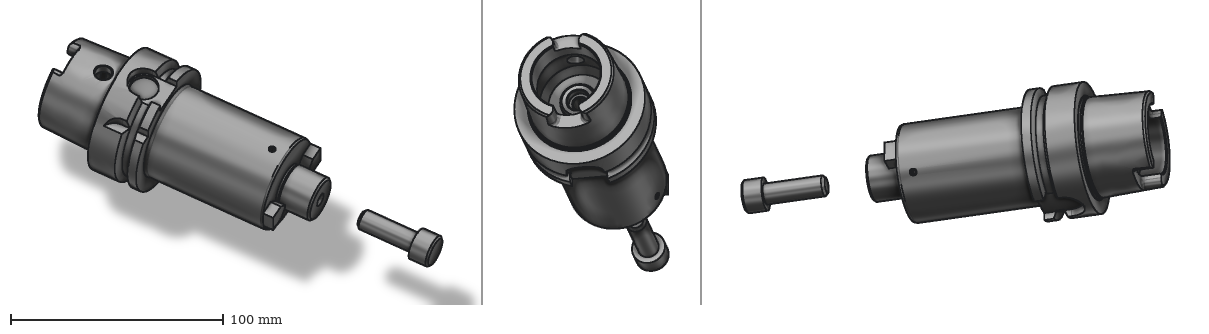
import cadquery as cq
import math

MOUTH_RADIUS = 45.9 / 2
MOUTH_ROUND = 1.0
TAPER_END_RADIUS = 24.0
UNDERCUT_START = 29.9
UNDERCUT_RADIUS = 23.6
UNDERCUT_SLOPE_LENGTH = 0.6
FACE_RELIEF_RADIUS = 25.0
FACE_RELIEF_DEPTH = 0.5

FLANGE_START = 32.0
FLANGE_WIDTH = 26.0
FLANGE_END = FLANGE_START + FLANGE_WIDTH
FLANGE_RADIUS = 31.5
GROOVE_RADIUS = 27.7
GROOVE_MOUTH = (FLANGE_START + 14.5, FLANGE_START + 21.5)
GROOVE_FLOOR = (FLANGE_START + 16.4, FLANGE_START + 20.0)

NECK_RADIUS = 24.0
NECK_LENGTH = 1.6
BODY_RADIUS = 23.6
BODY_END = 121.8
BODY_END_CHAMFER_LENGTH = 1.2
BODY_END_CHAMFER_DEPTH = 0.5
SPIGOT_RADIUS = 11.1
SPIGOT_END = 140.0
SPIGOT_CHAMFER = 1.0
SPIGOT_UNDERCUT_RADIUS = 10.7
SPIGOT_UNDERCUT_LENGTH = 2
SPIGOT_UNDERCUT_SLOPE_LENGTH = 0.8

BORE_MOUTH_RADIUS = 17.2
BORE_MOUTH_CHAMFER = 0.6
BORE_RADIUS = BORE_MOUTH_RADIUS - BORE_MOUTH_CHAMFER
BORE_CONE_START = 12.7
BORE_CONE_END = 14.7
BORE_INNER_RADIUS = 18.5
BORE_FLOOR_RADIUS = 15.2
BORE_DEPTH = 32.3
BOSS_RADIUS = 8.9
BOSS_HEIGHT = 4
BOSS_CHAMFER = 1.0
SOCKET_RADIUS = 5.3
SOCKET_CHAMFER = 0.5
SOCKET_DEPTH = 4
COOLANT_HOLE_DIAMETER = 6.5
COOLANT_HOLE_MOUTH_DIAMETER = 7.5

KEYWAY_HALF_WIDTH = 6.3
KEYWAY_EDGE_ROUND = 3.2
KEYWAY_ROUND_TOP = 20.8
KEYWAY_END_FILLET = 1.2
TOP_KEYWAY_LENGTH = 5.7
BOTTOM_KEYWAY_LENGTH = 9.7

ACCESS_HOLE_X = 22.8
ACCESS_HOLE_DIAMETER = 8
ACCESS_HOLE_MOUTH_DIAMETER = 9.3
ACCESS_HOLE_TOP_RADIUS = MOUTH_RADIUS + (TAPER_END_RADIUS - MOUTH_RADIUS) * ACCESS_HOLE_X / FLANGE_START
ACCESS_HOLE_CHAMFER_SHARE = 0.99

SLOT_CENTER_X = FLANGE_START + 13.0
SLOT_FLOOR = 26.5
TOP_SLOT_DIAMETER = 16.0
BOTTOM_SLOT_DIAMETER = 18.0
CHIP_POCKET_DIAMETER = 14.0
CHIP_POCKET_DEPTH = 2
NOTCH_CENTER_X = FLANGE_START + 12.1
NOTCH_CORNER = 19.8

KEY_WIDTH = 10
KEY_OUTER = 23.0
KEY_END = 127.3
KEY_TIP_CHAMFER = 4.5

NOZZLE_X = 114.0
NOZZLE_COUNT = 3
NOZZLE_MOUTH_DIAMETER = 3.5
NOZZLE_DIAMETER = 2.2
NOZZLE_DEPTH = 4
NOZZLE_MOUTH_DEPTH = (NOZZLE_MOUTH_DIAMETER - NOZZLE_DIAMETER) / 2

SCREW_END = 202
SCREW_LENGTH = 40.0
SCREW_TIP = SCREW_END - SCREW_LENGTH
SCREW_TIP_RADIUS = 7.5 / 2
SCREW_TIP_CHAMFER_LENGTH = 1.5
SCREW_SHANK_RADIUS = 5.0
SCREW_HEAD_RADIUS = 16.0 / 2
SCREW_HEAD_LENGTH = 10
SCREW_HEAD_CHAMFER = 1.0


def revolve_about_x(points):
    """Solid of revolution about X of an (axial, radial) half outline."""
    return cq.Workplane("XY").polyline(points).close().revolve(360, (0, 0, 0), (1, 0, 0))


def upright_cylinder(x, y, diameter, bottom, top):
    return cq.Workplane("XY", origin=(x, y, bottom)).circle(diameter / 2).extrude(top - bottom)


def box_between(low, high):
    size = [b - a for a, b in zip(low, high)]
    return cq.Workplane("XY").box(*size, centered=False).translate(low)


def turn_about_x(shape, angle):
    return shape.rotate((0, 0, 0), (1, 0, 0), angle)


def make_outside():
    """Taper, flange, body and spigot without any openings."""
    undercut_end = BODY_END + SPIGOT_UNDERCUT_LENGTH
    points = [
        (0, 0),
        (0, MOUTH_RADIUS - MOUTH_ROUND),
        (MOUTH_ROUND, MOUTH_RADIUS),
        (UNDERCUT_START, TAPER_END_RADIUS),
        (UNDERCUT_START + UNDERCUT_SLOPE_LENGTH, UNDERCUT_RADIUS),
        (FLANGE_START - UNDERCUT_SLOPE_LENGTH, UNDERCUT_RADIUS),
        (FLANGE_START + FACE_RELIEF_DEPTH, TAPER_END_RADIUS),
        (FLANGE_START + FACE_RELIEF_DEPTH, FACE_RELIEF_RADIUS - FACE_RELIEF_DEPTH),
        (FLANGE_START, FACE_RELIEF_RADIUS),
        (FLANGE_START, FLANGE_RADIUS),
        (GROOVE_MOUTH[0], FLANGE_RADIUS),
        (GROOVE_FLOOR[0], GROOVE_RADIUS),
        (GROOVE_FLOOR[1], GROOVE_RADIUS),
        (GROOVE_MOUTH[1], FLANGE_RADIUS),
        (FLANGE_END, FLANGE_RADIUS),
        (FLANGE_END, NECK_RADIUS),
        (FLANGE_END + NECK_LENGTH, BODY_RADIUS),
        (BODY_END - BODY_END_CHAMFER_LENGTH, BODY_RADIUS),
        (BODY_END, BODY_RADIUS - BODY_END_CHAMFER_DEPTH),
        (BODY_END, SPIGOT_UNDERCUT_RADIUS),
        (undercut_end - SPIGOT_UNDERCUT_SLOPE_LENGTH, SPIGOT_UNDERCUT_RADIUS),
        (undercut_end, SPIGOT_RADIUS),
        (SPIGOT_END - SPIGOT_CHAMFER, SPIGOT_RADIUS),
        (SPIGOT_END, SPIGOT_RADIUS - SPIGOT_CHAMFER),
        (SPIGOT_END, 0),
    ]
    return revolve_about_x(points)


def make_bore():
    """Clamping bore, leaving the boss on its floor, and a stepped coolant hole through to the spigot end."""
    boss_top = BORE_DEPTH - BOSS_HEIGHT
    socket_floor = boss_top + SOCKET_DEPTH
    coolant_hole_chamfer = (COOLANT_HOLE_MOUTH_DIAMETER - COOLANT_HOLE_DIAMETER) / 2
    points = [
        (0, 0),
        (0, BORE_MOUTH_RADIUS),
        (BORE_MOUTH_CHAMFER, BORE_RADIUS),
        (BORE_CONE_START, BORE_RADIUS),
        (BORE_CONE_END, BORE_INNER_RADIUS),
        (BORE_DEPTH - (BORE_INNER_RADIUS - BORE_FLOOR_RADIUS), BORE_INNER_RADIUS),
        (BORE_DEPTH, BORE_FLOOR_RADIUS),
        (BORE_DEPTH, BOSS_RADIUS),
        (boss_top + BOSS_CHAMFER, BOSS_RADIUS),
        (boss_top, BOSS_RADIUS - BOSS_CHAMFER),
        (boss_top, SOCKET_RADIUS + SOCKET_CHAMFER),
        (boss_top + SOCKET_CHAMFER, SOCKET_RADIUS),
        (socket_floor, SOCKET_RADIUS),
        (socket_floor, COOLANT_HOLE_MOUTH_DIAMETER / 2),
        (socket_floor + coolant_hole_chamfer, COOLANT_HOLE_DIAMETER / 2),
        (SPIGOT_END, COOLANT_HOLE_DIAMETER / 2),
        (SPIGOT_END, 0),
    ]
    return revolve_about_x(points)


def make_keyway(length):
    """Keyway cutter on the +Z side: rounded outer edges and a filleted closed end."""
    flare = KEYWAY_HALF_WIDTH + KEYWAY_EDGE_ROUND
    wall_top = KEYWAY_ROUND_TOP - KEYWAY_EDGE_ROUND
    middle = KEYWAY_EDGE_ROUND * math.sqrt(0.5)
    round_middle = (flare - middle, wall_top + middle)
    clear_y = 2 * KEYWAY_HALF_WIDTH
    right_half = (
        cq.Workplane("YZ")
        .lineTo(KEYWAY_HALF_WIDTH, 0)
        .lineTo(KEYWAY_HALF_WIDTH, wall_top)
        .threePointArc(round_middle, (flare, KEYWAY_ROUND_TOP))
        .lineTo(clear_y, KEYWAY_ROUND_TOP)
        .lineTo(clear_y, FLANGE_RADIUS)
        .lineTo(0, FLANGE_RADIUS)
        .close()
        .extrude(length)
    )
    whole = right_half.union(right_half.mirror("XZ"), clean=True)
    return whole.faces(">X").edges().fillet(KEYWAY_END_FILLET)


def make_access_hole():
    """Radial hole from the top of the taper into the bore, with a chamfered mouth."""
    hole = upright_cylinder(
        ACCESS_HOLE_X, 0, ACCESS_HOLE_DIAMETER, BORE_FLOOR_RADIUS, FLANGE_RADIUS
    )
    chamfer = (ACCESS_HOLE_MOUTH_DIAMETER - ACCESS_HOLE_DIAMETER) / 2
    mouth = upright_cylinder(
        ACCESS_HOLE_X, 0, ACCESS_HOLE_MOUTH_DIAMETER, ACCESS_HOLE_TOP_RADIUS - chamfer, FLANGE_RADIUS
    )
    return hole.union(mouth.faces("<Z").chamfer(chamfer * ACCESS_HOLE_CHAMFER_SHARE))


def make_flange_slot(diameter):
    """Round-ended slot cutter on the +Z side, open at the body end of the flange."""
    half = diameter / 2
    round_end = upright_cylinder(SLOT_CENTER_X, 0, diameter, SLOT_FLOOR, FLANGE_RADIUS)
    run_out = box_between((SLOT_CENTER_X, -half, SLOT_FLOOR), (FLANGE_END, half, FLANGE_RADIUS))
    return round_end.union(run_out)


def make_chip_pocket():
    """Shallow round pocket in the floor of the top flange slot."""
    pocket_floor = SLOT_FLOOR - CHIP_POCKET_DEPTH
    return upright_cylinder(SLOT_CENTER_X, 0, CHIP_POCKET_DIAMETER, pocket_floor, SLOT_FLOOR)


def make_orientation_notch():
    """Notch cutter with a level floor and an upright wall between the -Y and +Z sides."""
    radius = TOP_SLOT_DIAMETER / 2
    round_end = upright_cylinder(
        NOTCH_CENTER_X, -NOTCH_CORNER - radius, TOP_SLOT_DIAMETER, NOTCH_CORNER, FLANGE_RADIUS
    )
    run_out = box_between(
        (NOTCH_CENTER_X, -FLANGE_RADIUS, NOTCH_CORNER), (FLANGE_END, -NOTCH_CORNER, FLANGE_RADIUS)
    )
    return round_end.union(run_out)


def make_nozzle():
    """Countersunk blind hole cutter on the +Z side of the body."""
    bottom = BODY_RADIUS - NOZZLE_DEPTH
    hole = upright_cylinder(NOZZLE_X, 0, NOZZLE_DIAMETER, bottom, FLANGE_RADIUS)
    mouth = (
        cq.Workplane("XY", origin=(NOZZLE_X, 0, BODY_RADIUS))
        .circle(NOZZLE_MOUTH_DIAMETER / 2)
        .workplane(offset=-NOZZLE_MOUTH_DEPTH)
        .circle(NOZZLE_DIAMETER / 2)
        .loft()
    )
    return hole.union(mouth)


def make_drive_key():
    """Key on the +Y side of the end face, with its inner end chamfered towards the spigot."""
    half = KEY_WIDTH / 2
    tip = half - KEY_TIP_CHAMFER
    shoulder = SPIGOT_RADIUS + KEY_TIP_CHAMFER
    outline = [
        (KEY_OUTER, -half),
        (KEY_OUTER, half),
        (shoulder, half),
        (SPIGOT_RADIUS, tip),
        (SPIGOT_RADIUS, -tip),
        (shoulder, -half),
    ]
    start = cq.Workplane("YZ", origin=(BODY_END, 0, 0))
    return start.polyline(outline).close().extrude(KEY_END - BODY_END)


def make_holder():
    """Tool holder: hollow taper, gripper flange, body, spigot and drive keys in one solid."""
    holder = make_outside().cut(make_bore())
    holder = holder.cut(make_keyway(TOP_KEYWAY_LENGTH))
    holder = holder.cut(turn_about_x(make_keyway(BOTTOM_KEYWAY_LENGTH), 180))
    holder = holder.cut(make_access_hole())
    holder = holder.cut(make_flange_slot(TOP_SLOT_DIAMETER))
    holder = holder.cut(turn_about_x(make_flange_slot(BOTTOM_SLOT_DIAMETER), 180))
    holder = holder.cut(make_chip_pocket())
    holder = holder.cut(make_orientation_notch())
    for index in range(NOZZLE_COUNT):
        holder = holder.cut(turn_about_x(make_nozzle(), index * 360 / NOZZLE_COUNT))
    for angle in (0, 180):
        holder = holder.union(turn_about_x(make_drive_key(), angle))
    return holder


def make_screw():
    """Cap screw with a chamfered tip and head."""
    head_start = SCREW_END - SCREW_HEAD_LENGTH
    points = [
        (SCREW_TIP, 0),
        (SCREW_TIP, SCREW_TIP_RADIUS),
        (SCREW_TIP + SCREW_TIP_CHAMFER_LENGTH, SCREW_SHANK_RADIUS),
        (head_start, SCREW_SHANK_RADIUS),
        (head_start, SCREW_HEAD_RADIUS),
        (SCREW_END - SCREW_HEAD_CHAMFER, SCREW_HEAD_RADIUS),
        (SCREW_END, SCREW_HEAD_RADIUS - SCREW_HEAD_CHAMFER),
        (SCREW_END, 0),
    ]
    return revolve_about_x(points)


holder = make_holder()
screw = make_screw()
result = cq.Compound.makeCompound([holder.val(), screw.val()])